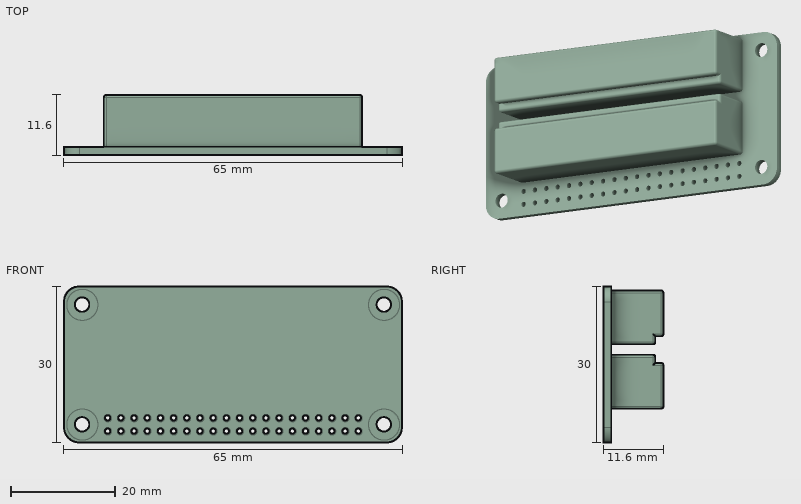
import cadquery as cq

board_length = 65.0
board_height = 30.0
board_thickness = 1.55
board_corner_radius = 3.0

mount_hole_diameter = 2.7
mount_pad_diameter = 6.0
mount_inset = 3.5

pin_hole_diameter = 1.0
pin_pad_diameter = 1.4
pin_pitch = 2.55
pin_columns = 20
pin_rows = 2
lowest_pin_row_inset = 2.2

total_depth = 11.6
block_length = 49.65
block_height = 10.4
block_gap = 1.95
block_top_inset = 0.8
notch_size = 1.55
block_edge_radius = 0.5

block_top = board_height / 2 - block_top_inset
block_bottom = block_top - block_height
gap_center_z = block_bottom - block_gap / 2

mount_x = board_length / 2 - mount_inset
mount_z = board_height / 2 - mount_inset
mount_points = [(x, z) for x in (-mount_x, mount_x) for z in (-mount_z, mount_z)]

first_pin_x = -pin_pitch * (pin_columns - 1) / 2
first_pin_z = -board_height / 2 + lowest_pin_row_inset
pin_points = [
    (first_pin_x + pin_pitch * column, first_pin_z + pin_pitch * row)
    for column in range(pin_columns)
    for row in range(pin_rows)
]


def board_discs(points, diameter):
    """Round plugs through the full board thickness, one at each (x, z) point."""
    return cq.Workplane("XZ").pushPoints(points).circle(diameter / 2).extrude(-board_thickness)


def add_padded_holes(board, points, pad_diameter, hole_diameter):
    """Drill through holes and keep the outline of the flush pad around each one."""
    board = board.union(board_discs(points, pad_diameter), clean=False)
    return board.cut(board_discs(points, hole_diameter), clean=False)


def make_board():
    board = (
        cq.Workplane("XZ")
        .rect(board_length, board_height)
        .extrude(-board_thickness)
        .edges("|Y")
        .fillet(board_corner_radius)
    )
    board = add_padded_holes(board, mount_points, mount_pad_diameter, mount_hole_diameter)
    return add_padded_holes(board, pin_points, pin_pad_diameter, pin_hole_diameter)


def make_upper_block():
    """Block above the gap, rounded on every outer edge that is clear of the board."""
    notch_floor = total_depth - notch_size
    notch_side = block_bottom + notch_size
    exposed_edges = cq.StringSyntaxSelector("not <Y")
    notch_corner = cq.NearestToPointSelector((0, notch_floor, notch_side))
    return (
        cq.Workplane("YZ", origin=(-block_length / 2, 0, 0))
        .moveTo(board_thickness, block_bottom)
        .lineTo(notch_floor, block_bottom)
        .lineTo(notch_floor, notch_side)
        .lineTo(total_depth, notch_side)
        .lineTo(total_depth, block_top)
        .lineTo(board_thickness, block_top)
        .close()
        .extrude(block_length)
        .edges(exposed_edges - notch_corner)
        .fillet(block_edge_radius)
    )


upper_block = make_upper_block()
lower_block = upper_block.mirror("XY", (0, 0, gap_center_z))

result = make_board()
for block in (upper_block, lower_block):
    result = result.union(block, clean=False)